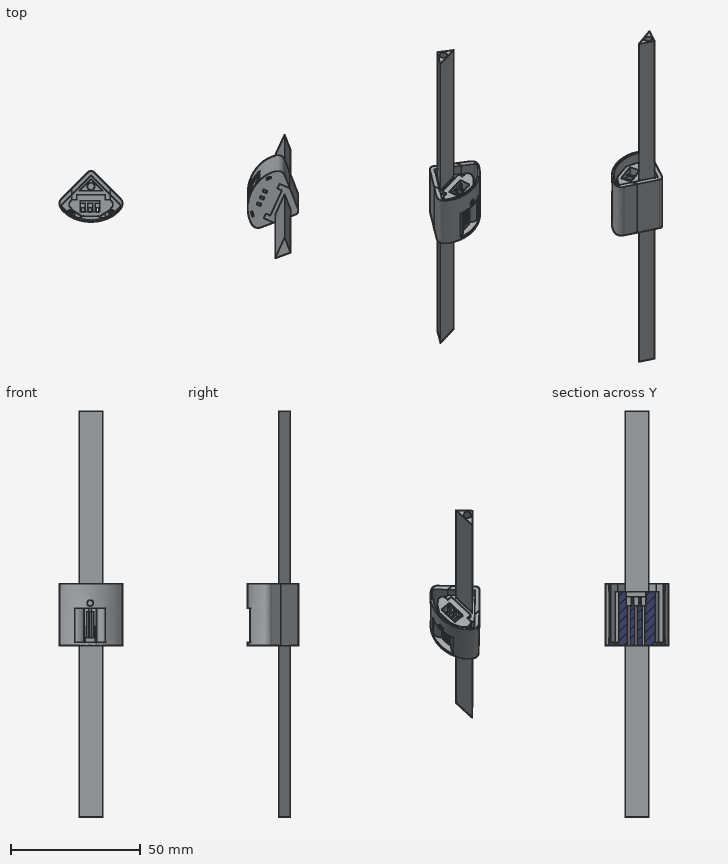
import cadquery as cq
import math

ROD_LENGTH = 156.4
CASE_TOP = 11.7
CASE_BOTTOM = -12.2
CASE_HEIGHT = CASE_TOP - CASE_BOTTOM
BASE_TOP = -11.0
CORE_TOP = 8.6
CLIP_FLOOR = 7.2

CORNER_Y = 8.1
REAR_WALL = 1.7
REAR_APEX_Y = CORNER_Y + REAR_WALL * math.sqrt(2)
REAR_WALL_END_X = 11.4
SIDE_X = 12.2
SIDE_Y = -2.7
SHOULDER_X = 9.2
SHOULDER_Y = -6.9
SHOULDER_SLOPE = 0.8
FRONT_Y = -9.9
FRONT_WALL = 0.8
INNER_RADIUS = 14.9
INNER_CENTER_Y = FRONT_Y + FRONT_WALL + INNER_RADIUS
INNER_SIDE_FILLET = 0.8

SPLIT_X = 7.5
ARM_INNER_X = 5.5
ARM_FRONT_Y = -1.3
CLIP_FRONT_Y = 0.6

ROD_HALF_WIDTH = 4.5
ROD_BASE_Y = 2.2
ROD_BORE_DIAMETER = 2.8
ROD_BORE_Y = 3.9
ROD_BORE_DEPTH = 78.2

CORE_SIDE_X = 8.3
CORE_SIDE_BACK_Y = -2.3
CORE_SIDE_FRONT_Y = -3.8
CORE_BEVEL_X = 6.9
CORE_BEVEL_Y = -5.5
CORE_FRONT_HALF_WIDTH = 3.6
CORE_FRONT_Y = -7.5

FEATURE_X = -0.3
SLOT_COUNT = 3
SLOT_PITCH = 2.8
SLOT_WIDTH = 1.9
POCKET_WIDTH = (SLOT_COUNT - 1) * SLOT_PITCH + SLOT_WIDTH
POCKET_BACK_Y = -1.7
POCKET_FRONT_Y = -6.0
POCKET_FLOOR = 6.5
SLOT_BACK_Y = -2.5
SLOT_FLOOR = 3.1
OPENING_WIDTH = 1.0
OPENING_BACK_Y = -4.4

WINDOW_WIDTH = 11.7
WINDOW_TOP = 2.2
WINDOW_BACK_Y = -6.3
WINDOW_LEFT = FEATURE_X - WINDOW_WIDTH / 2
WINDOW_RIGHT = FEATURE_X + WINDOW_WIDTH / 2
POST_FRONT_Y = -8.3
LEFT_POST_RADIUS = 3.3
LEFT_POST_X = -5.3
RIGHT_POST_RADIUS = 2.5
RIGHT_POST_X = 4.7
CHANNEL_LEFT = -2.8
CHANNEL_RIGHT = 2.2
STEP_TOP = -4.7
STEP_LEFT_END = -2.3
STEP_RIGHT_END = 1.7
STEP_FRONT_Y = -6.9
RIB_COUNT = 3
RIB_PITCH = 1.0
RIB_WIDTH = 0.8
RIB_FRONT_Y = -6.9
RIB_TOP = 1.0
RIB_BOTTOM = -9.0
LEDGE_WIDTH = 3.8
LEDGE_FRONT_Y = -7.2

SIGHT_HOLE_DIAMETER = 2.3
SIGHT_HOLE_Z = 4.2

SLIT_X = 7.8
SLIT_Y = -6.0
SLIT_LENGTH = 1.9
SLIT_WIDTH = 0.6
SLIT_ANGLE = 40.0


def box(x_min, x_max, y_min, y_max, z_min, z_max):
    """Axis-aligned box given by its limits."""
    size = (x_max - x_min, y_max - y_min, z_max - z_min)
    return cq.Workplane("XY").box(*size, centered=False).translate((x_min, y_min, z_min))


def prism(points, z_min, z_max):
    """Straight prism over a closed polygon."""
    return cq.Workplane("XY", origin=(0, 0, z_min)).polyline(points).close().extrude(z_max - z_min)


def outer_envelope():
    """Full outside shape: two 45-degree rear walls run smoothly into one bowed front face."""
    end_y = REAR_APEX_Y - REAR_WALL_END_X
    front_curve = [
        (-SIDE_X, SIDE_Y),
        (-SHOULDER_X, SHOULDER_Y),
        (0, FRONT_Y),
        (SHOULDER_X, SHOULDER_Y),
        (SIDE_X, SIDE_Y),
        (REAR_WALL_END_X, end_y),
    ]
    directions = [(-1, -1), (0, -1), (1, -SHOULDER_SLOPE), (1, 0), (1, SHOULDER_SLOPE), (0, 1), (-1, 1)]
    body = (
        cq.Workplane("XY", origin=(0, 0, CASE_BOTTOM))
        .moveTo(0, REAR_APEX_Y)
        .lineTo(-REAR_WALL_END_X, end_y)
        .spline(front_curve, tangents=directions, includeCurrent=True)
        .close()
        .extrude(CASE_HEIGHT)
    )
    return body.edges("|Z and >Y").fillet(REAR_WALL)


def inner_cavity(z_min):
    """Sector-shaped space inside the walls, from z_min up to the open top."""
    rise = CORNER_Y - INNER_CENTER_Y
    side_x = (rise + math.sqrt(2 * INNER_RADIUS**2 - rise**2)) / 2
    side_y = CORNER_Y - side_x
    cavity = (
        cq.Workplane("XY", origin=(0, 0, z_min))
        .moveTo(0, CORNER_Y)
        .lineTo(-side_x, side_y)
        .threePointArc((0, INNER_CENTER_Y - INNER_RADIUS), (side_x, side_y))
        .close()
        .extrude(CASE_TOP - z_min)
    )
    return cavity.edges("|Z and (<X or >X)").fillet(INNER_SIDE_FILLET)


def rear_zone():
    """Plan area of the rear clip, with an arm on each side of the core."""
    points = [
        (-SPLIT_X, REAR_APEX_Y),
        (-SPLIT_X, ARM_FRONT_Y),
        (-ARM_INNER_X, ARM_FRONT_Y),
        (-ARM_INNER_X, CLIP_FRONT_Y),
        (ARM_INNER_X, CLIP_FRONT_Y),
        (ARM_INNER_X, ARM_FRONT_Y),
        (SPLIT_X, ARM_FRONT_Y),
        (SPLIT_X, REAR_APEX_Y),
    ]
    return prism(points, CASE_BOTTOM, CASE_TOP)


def rod_prism():
    """Solid triangular rod over its full length."""
    points = [
        (-ROD_HALF_WIDTH, ROD_BASE_Y),
        (ROD_HALF_WIDTH, ROD_BASE_Y),
        (0, ROD_BASE_Y + ROD_HALF_WIDTH),
    ]
    return prism(points, -ROD_LENGTH / 2, ROD_LENGTH / 2)


def make_rod():
    bore = (
        cq.Workplane("XY", origin=(0, ROD_BORE_Y, ROD_LENGTH / 2))
        .circle(ROD_BORE_DIAMETER / 2)
        .extrude(-ROD_BORE_DEPTH)
    )
    return rod_prism().cut(bore)


def make_rear_clip():
    """Rear corner of the housing, filled up to the clip floor and bored for the rod."""
    clip = outer_envelope().intersect(rear_zone())
    return clip.cut(inner_cavity(CLIP_FLOOR)).cut(rod_prism())


def core():
    """Faceted block that stands inside the front shell."""
    right_side = [
        (ARM_INNER_X, CLIP_FRONT_Y),
        (ARM_INNER_X, ARM_FRONT_Y),
        (SPLIT_X, ARM_FRONT_Y),
        (CORE_SIDE_X, CORE_SIDE_BACK_Y),
        (CORE_SIDE_X, CORE_SIDE_FRONT_Y),
        (CORE_BEVEL_X, CORE_BEVEL_Y),
        (CORE_FRONT_HALF_WIDTH, CORE_FRONT_Y),
    ]
    left_side = [(-x, y) for x, y in reversed(right_side)]
    return prism(right_side + left_side, CASE_BOTTOM, CORE_TOP)


def contact_pocket():
    """Shelf pocket with three slots, each open through the base along its front."""
    half = POCKET_WIDTH / 2
    pocket = box(FEATURE_X - half, FEATURE_X + half, POCKET_FRONT_Y, POCKET_BACK_Y, POCKET_FLOOR, CORE_TOP)
    for i in range(SLOT_COUNT):
        x = FEATURE_X + (i - (SLOT_COUNT - 1) / 2) * SLOT_PITCH
        half_slot = SLOT_WIDTH / 2
        half_opening = OPENING_WIDTH / 2
        slot = box(x - half_slot, x + half_slot, POCKET_FRONT_Y, SLOT_BACK_Y, SLOT_FLOOR, CORE_TOP)
        opening = box(
            x - half_opening, x + half_opening, POCKET_FRONT_Y, OPENING_BACK_Y, CASE_BOTTOM, CORE_TOP
        )
        pocket = pocket.union(slot).union(opening)
    return pocket


def window():
    """Rectangular opening through the front wall and into the core."""
    return box(WINDOW_LEFT, WINDOW_RIGHT, FRONT_Y, WINDOW_BACK_Y, BASE_TOP, WINDOW_TOP)


def post(x, radius, x_min, x_max):
    """Rounded post standing in the window, trimmed to x_min..x_max."""
    cylinder = (
        cq.Workplane("XY", origin=(x, POST_FRONT_Y + radius, BASE_TOP))
        .circle(radius)
        .extrude(WINDOW_TOP - BASE_TOP)
    )
    return cylinder.intersect(box(x_min, x_max, FRONT_Y, WINDOW_BACK_Y, BASE_TOP, WINDOW_TOP))


def window_details():
    """Posts, edge steps, contact ribs and ledge inside the window."""
    details = post(LEFT_POST_X, LEFT_POST_RADIUS, WINDOW_LEFT, CHANNEL_LEFT)
    details = details.union(post(RIGHT_POST_X, RIGHT_POST_RADIUS, CHANNEL_RIGHT, WINDOW_RIGHT))
    details = details.union(
        box(CHANNEL_LEFT, STEP_LEFT_END, STEP_FRONT_Y, WINDOW_BACK_Y, BASE_TOP, STEP_TOP)
    )
    details = details.union(
        box(STEP_RIGHT_END, CHANNEL_RIGHT, STEP_FRONT_Y, WINDOW_BACK_Y, BASE_TOP, STEP_TOP)
    )
    for i in range(RIB_COUNT):
        x = FEATURE_X + (i - (RIB_COUNT - 1) / 2) * RIB_PITCH
        rib = box(x - RIB_WIDTH / 2, x + RIB_WIDTH / 2, RIB_FRONT_Y, WINDOW_BACK_Y, RIB_BOTTOM, RIB_TOP)
        details = details.union(rib)
    half_ledge = LEDGE_WIDTH / 2
    ledge = box(
        FEATURE_X - half_ledge, FEATURE_X + half_ledge, LEDGE_FRONT_Y, WINDOW_BACK_Y, BASE_TOP, RIB_BOTTOM
    )
    return details.union(ledge)


def sight_hole():
    """Round hole through the front wall, ending at the flat front of the core."""
    return (
        cq.Workplane("XZ", origin=(FEATURE_X, CORE_FRONT_Y, SIGHT_HOLE_Z))
        .circle(SIGHT_HOLE_DIAMETER / 2)
        .extrude(CORE_FRONT_Y - FRONT_Y)
    )


def drain_slit(side):
    """Slit through the base on one side (-1 left, +1 right)."""
    return (
        cq.Workplane("XY")
        .box(SLIT_LENGTH, SLIT_WIDTH, CASE_HEIGHT)
        .rotate((0, 0, 0), (0, 0, 1), side * SLIT_ANGLE)
        .translate((side * SLIT_X, SLIT_Y, CASE_BOTTOM))
    )


def make_front_housing():
    """Front shell, base and core, with the window and the contact pocket."""
    housing = outer_envelope().cut(inner_cavity(BASE_TOP)).union(core())
    housing = housing.cut(rear_zone())
    housing = housing.cut(contact_pocket()).cut(window()).union(window_details())
    housing = housing.cut(sight_hole())
    for side in (-1, 1):
        housing = housing.cut(drain_slit(side))
    return housing


rod = make_rod()
rear_clip = make_rear_clip()
front_housing = make_front_housing()
result = cq.Compound.makeCompound([rod.val(), rear_clip.val(), front_housing.val()])